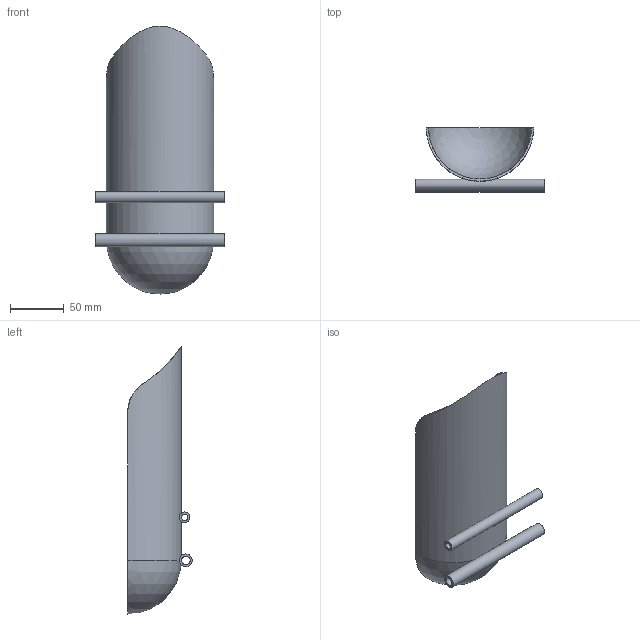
import cadquery as cq
import math

outer_radius = 50.0
wall = 2.0
inner_radius = outer_radius - wall
tip_height = 200.0
side_height = 137.7

lip_middle_height = 172.6
lip_end_angle = math.radians(57)

tube_length = 120.0
tube_wall = 2.0
lower_tube_diameter = 12.0
lower_tube_height = 0.0
lower_bore_clearance = 0.2
upper_tube_diameter = 10.0
upper_tube_height = 40.2
upper_bore_clearance = 0.05


def round_ended_column(radius):
    """Half of a cylinder with a domed bottom, on the -Y side of the XZ plane."""
    section = (
        cq.Workplane("XZ")
        .moveTo(0, -radius)
        .threePointArc((radius * math.sqrt(0.5), -radius * math.sqrt(0.5)), (radius, 0))
        .lineTo(radius, tip_height)
        .lineTo(0, tip_height)
        .close()
    )
    return section.revolve(180, (0, 0, 0), (0, -1, 0))


def lip_envelope():
    """Block under the S-shaped lip curve, as wide as the scoop along X."""
    return (
        cq.Workplane("YZ")
        .moveTo(0, side_height)
        .spline(
            [(-outer_radius / 2, lip_middle_height), (-outer_radius, tip_height)],
            tangents=[(0, 1), (-math.cos(lip_end_angle), math.sin(lip_end_angle))],
            includeCurrent=True,
        )
        .lineTo(-outer_radius, -outer_radius)
        .lineTo(0, -outer_radius)
        .close()
        .extrude(outer_radius, both=True)
    )


def scoop():
    shell = round_ended_column(outer_radius).cut(round_ended_column(inner_radius))
    return shell.intersect(lip_envelope())


def cross_tube(diameter, height, bore_clearance):
    bore_radius = diameter / 2 - tube_wall
    centre_y = -(outer_radius + bore_clearance + bore_radius)
    return (
        cq.Workplane("YZ")
        .center(centre_y, height)
        .circle(diameter / 2)
        .circle(bore_radius)
        .extrude(tube_length / 2, both=True)
    )


result = (
    scoop()
    .union(cross_tube(lower_tube_diameter, lower_tube_height, lower_bore_clearance))
    .union(cross_tube(upper_tube_diameter, upper_tube_height, upper_bore_clearance))
)